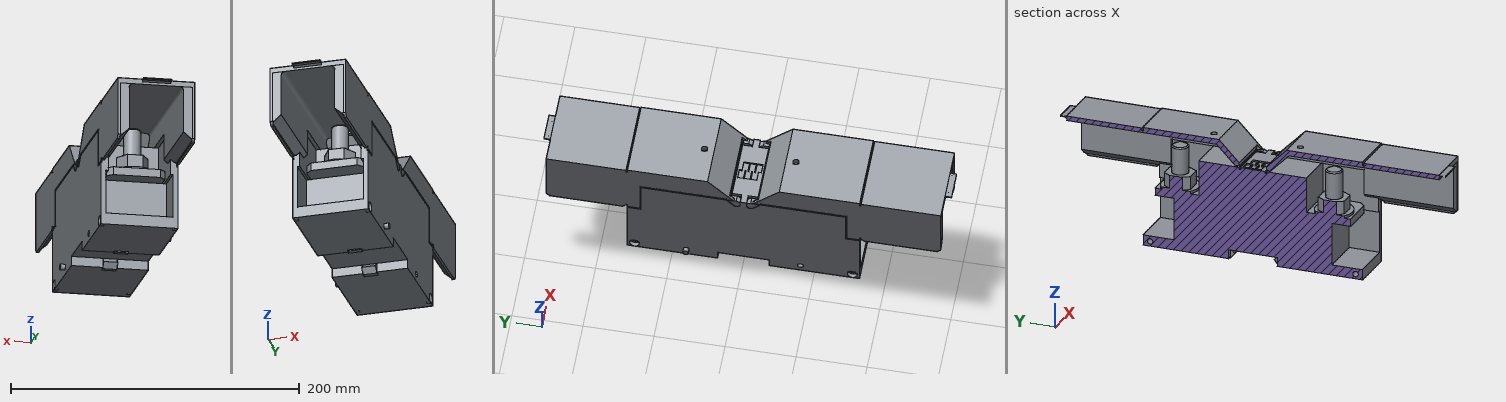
import cadquery as cq


width = 54.5
half_width = width / 2
housing_end = 81.8
height = 89.3
deck_z = 70.5
rail_notch_end = 18.0
rail_notch_depth = 6.5

slope_top_y = 25.3
slope_bottom_y = slope_top_y - (height - deck_z)
slope_foot_thickness = 5.5
slope_inner_y = slope_bottom_y + slope_foot_thickness
cap_end = 139.0
cap_top = 88.7
cap_bottom = 45.3
cap_corner = 2.5
ceiling_z = 85.0
cover_wall = 8.0
cavity_half_width = half_width - cover_wall
cavity_corner = 3.0
inner_slope_top_y = 27.0
end_rim = 1.7
end_rim_depth = 0.1
flare_top_z = 52.2
flare_bottom_z = 46.8
hinge_width = 1.0
hinge_bottom = 86.7
relief_top = 47.6
relief_flat = 1.0
cover_hole_y = 32.1
cover_hole_diameter = 4.3

seam_width = 1.0
seam_depth = 1.0
seam_y = 72.0

tab_end = 143.5
tab_width = 20.0
tab_thickness = 1.0
tab_drop = 0.3
tab_gusset = 1.7

window_half_width = 25.0
window_end = 10.0
window_channel_width = 1.0
window_channel_depth = 1.5
latch_front = 2.3
latch_bottom = 64.5
latch_ramp_end = 5.2
latch_ramp_depth = 1.5
latch_arc_y = 4.5
latch_mark_depth = 0.3
latch_width = 4.5
latch_gap = 1.7
latch_gap_depth = 2.3
latch_corner = 0.5
latch_nose = 2.0

chamber_back = 40.2
chamber_width = 44.2
chamber_floor = 39.0
pocket_back = 59.0
pocket_width = 47.6
pocket_floor = 8.0

plate_width = 41.3
plate_end = 73.0
plate_thickness = 5.7
plate_corner = 4.0
stud_y = 57.5
stud_diameter = 12.0
stud_top = 76.5
stud_corner = 1.0
washer_diameter = 27.5
washer_thickness = 1.7
nut_across_corners = 22.5
nut_height = 9.8

pin_y = 40.2
pin_z = 5.5
pin_diameter = 4.0
width_over_pins = 61.0
pin_length = (width_over_pins - width) / 2
pin_hole_depth = 4.0
side_hole_y = 76.5
side_hole_z = 3.7
side_hole_diameter = 3.7
side_bore_diameter = 7.0
side_bore_depth = 3.0

foot_width = 10.0
foot_drop = 1.0
foot_tip_y = 14.5
foot_root_y = 21.5

comb_width = 7.0
comb_start = -5.7
comb_end = 8.3
comb_slots = 3
comb_bar = 0.5
comb_depth = 1.1


def box(x_range, y_range, z_range):
    """Box between the given limits."""
    sizes = [high - low for low, high in (x_range, y_range, z_range)]
    corner = (x_range[0], y_range[0], z_range[0])
    return cq.Workplane("XY").box(*sizes, centered=False).translate(corner)


def centred_box(full_width, y_range, z_range):
    """Box centred across X."""
    return box((-full_width / 2, full_width / 2), y_range, z_range)


def across(points, full_width):
    """Outline of (y, z) points extruded across X, centred on X = 0."""
    return cq.Workplane("YZ").polyline(points).close().extrude(full_width / 2, both=True)


def both_sides(solid):
    """The solid together with its mirror image in X."""
    return solid.union(solid.mirror("YZ"))


def half_shell():
    """Housing and cover of one pole, before hollowing."""
    return across(
        [
            (0, rail_notch_depth),
            (rail_notch_end, rail_notch_depth),
            (rail_notch_end, 0),
            (housing_end, 0),
            (housing_end, relief_top),
            (housing_end + relief_flat, relief_top),
            (housing_end + relief_flat + relief_top - cap_bottom, cap_bottom),
            (cap_end - cap_corner, cap_bottom),
            (cap_end, cap_bottom + cap_corner),
            (cap_end, cap_top),
            (housing_end + hinge_width, cap_top),
            (housing_end + hinge_width, hinge_bottom),
            (housing_end, hinge_bottom),
            (housing_end, height),
            (slope_top_y, height),
            (slope_bottom_y, deck_z),
            (0, deck_z),
        ],
        width,
    )


def cover_cavity():
    """Space under the cover: level ceiling, sloped front and flared lower edges on the cap."""
    inner_slope_bottom_y = inner_slope_top_y - (ceiling_z - deck_z)
    hollow = across(
        [
            (inner_slope_bottom_y, deck_z),
            (chamber_back, deck_z),
            (chamber_back, cap_bottom),
            (cap_end, cap_bottom),
            (cap_end, ceiling_z),
            (inner_slope_top_y, ceiling_z),
        ],
        2 * cavity_half_width,
    )
    hollow = hollow.edges("|Y and >Z").fillet(cavity_corner)

    flare_half_width = half_width - end_rim
    flare = (
        cq.Workplane("XZ", origin=(0, cap_end, 0))
        .polyline(
            [
                (-flare_half_width, cap_bottom),
                (-flare_half_width, flare_bottom_z),
                (-cavity_half_width, flare_top_z),
                (cavity_half_width, flare_top_z),
                (flare_half_width, flare_bottom_z),
                (flare_half_width, cap_bottom),
            ]
        )
        .close()
        .extrude(cap_end - seam_y)
    )
    flare = flare.intersect(
        centred_box(chamber_width, (seam_y, housing_end), (0, height)).union(
            centred_box(width, (housing_end, cap_end), (0, height))
        )
    )
    end_recess = centred_box(
        2 * flare_half_width, (cap_end - end_rim_depth, cap_end), (cap_bottom, ceiling_z)
    )
    return hollow.union(flare).union(end_recess)


def housing_cavity():
    """Terminal chamber with the deeper wire pocket in front of it."""
    chamber = centred_box(chamber_width, (chamber_back, housing_end), (chamber_floor, deck_z))
    chamber = chamber.cut(centred_box(width, (seam_y, housing_end), (cap_bottom, deck_z)))
    pocket = centred_box(pocket_width, (pocket_back, housing_end), (pocket_floor, chamber_floor))
    return chamber.union(pocket)


def parting_groove():
    """Stepped groove along both side faces where the cover meets the housing."""
    seam_bottom = cap_bottom - seam_width / 2
    outline = [
        (slope_inner_y, deck_z),
        (seam_y, deck_z),
        (seam_y, seam_bottom),
        (housing_end, seam_bottom),
        (housing_end, seam_bottom + seam_width),
        (seam_y + seam_width, seam_bottom + seam_width),
        (seam_y + seam_width, deck_z + seam_width),
        (slope_inner_y, deck_z + seam_width),
    ]
    core = centred_box(width - 2 * seam_depth, (0, cap_end), (0, height))
    return across(outline, width).cut(core)


def pull_tab():
    """Thin tab on the cap end, carried by a small gusset."""
    top = cap_top - tab_drop
    bottom = top - tab_thickness
    return across(
        [
            (cap_end - end_rim_depth, top),
            (tab_end, top),
            (tab_end, bottom),
            (cap_end + tab_gusset, bottom),
            (cap_end, bottom - tab_gusset / 2),
            (cap_end - end_rim_depth, bottom - tab_gusset / 2),
        ],
        tab_width,
    )


def deck_window():
    """Upright cut through the foot of the slope, with a narrow gap under it and a channel along it."""
    opening = centred_box(2 * window_half_width, (0, window_end), (deck_z, height))
    gap = centred_box(
        2 * window_half_width, (window_end, slope_inner_y), (deck_z, deck_z + seam_width)
    )
    channel = centred_box(
        2 * window_half_width,
        (window_end - window_channel_width, window_end),
        (deck_z - window_channel_depth, deck_z),
    )
    return opening.union(gap).union(channel)


def latch_cuts():
    """Shallow hook outline on each side face, its ramped top and the slot beside it."""
    hook = (
        cq.Workplane("YZ", origin=(half_width - latch_mark_depth, 0, 0))
        .moveTo(slope_inner_y, deck_z)
        .lineTo(slope_inner_y - (deck_z - latch_bottom - latch_corner), latch_bottom + latch_corner)
        .threePointArc((latch_arc_y, latch_bottom), (latch_front, latch_bottom + latch_nose))
        .lineTo(latch_front, deck_z)
        .close()
        .extrude(latch_mark_depth)
    )
    slot_outer = half_width - latch_width
    slot = box(
        (slot_outer - latch_gap, slot_outer),
        (latch_front, window_end),
        (deck_z - latch_gap_depth, deck_z),
    )
    ramp = (
        cq.Workplane("YZ", origin=(slot_outer, 0, 0))
        .polyline(
            [
                (latch_front, deck_z),
                (latch_front, deck_z - latch_ramp_depth),
                (latch_ramp_end, deck_z),
            ]
        )
        .close()
        .extrude(latch_width)
    )
    return both_sides(hook.union(slot).union(ramp))


def terminal():
    """Contact plate with washer, hexagon nut and stud."""
    plate = centred_box(
        plate_width, (chamber_back, plate_end), (chamber_floor, chamber_floor + plate_thickness)
    )
    plate = plate.edges("|Z and >Y").chamfer(plate_corner)
    plate_top = chamber_floor + plate_thickness
    nut_bottom = plate_top + washer_thickness
    washer = (
        cq.Workplane("XY", origin=(0, stud_y, plate_top))
        .circle(washer_diameter / 2)
        .extrude(washer_thickness)
    )
    nut = (
        cq.Workplane("XY", origin=(0, stud_y, nut_bottom))
        .polygon(6, nut_across_corners)
        .extrude(nut_height)
    )
    stud = (
        cq.Workplane("XY", origin=(0, stud_y, plate_top))
        .circle(stud_diameter / 2)
        .extrude(stud_top - plate_top)
        .faces(">Z")
        .chamfer(stud_corner)
    )
    return plate.union(washer).union(nut).union(stud)


def side_cylinder(diameter, x_start, length, y, z):
    """Cylinder along +X."""
    return cq.Workplane("YZ", origin=(x_start, y, z)).circle(diameter / 2).extrude(length)


def side_holes():
    """Through hole with a bore at both ends, and the blind socket for a neighbour's pin."""
    through = side_cylinder(side_hole_diameter, -half_width, width, side_hole_y, side_hole_z)
    bore = side_cylinder(
        side_bore_diameter, half_width - side_bore_depth, side_bore_depth, side_hole_y, side_hole_z
    )
    socket = side_cylinder(pin_diameter, half_width - pin_hole_depth, pin_hole_depth, pin_y, pin_z)
    return through.union(both_sides(bore)).union(socket)


def rail_foot():
    """Narrow pointed catch that reaches into the rail notch and just below the housing."""
    return across(
        [
            (foot_root_y, rail_notch_depth),
            (rail_notch_end, rail_notch_depth),
            (foot_tip_y, rail_notch_depth / 2),
            (rail_notch_end, -foot_drop),
            (foot_root_y, -foot_drop),
        ],
        foot_width,
    )


def comb():
    """Row of shallow slots to the left of the deck centre."""
    pitch = (comb_end - comb_start) / comb_slots
    cuts = cq.Workplane("XY")
    for index in range(comb_slots):
        start = comb_start + index * pitch
        cuts = cuts.union(
            box((-comb_width, 0), (start, start + pitch - comb_bar), (deck_z - comb_depth, deck_z))
        )
    return cuts


def half_block():
    """One complete pole on the +Y side."""
    block = half_shell().cut(cover_cavity()).cut(housing_cavity())
    block = block.cut(parting_groove()).cut(deck_window()).cut(latch_cuts())
    block = block.union(terminal()).cut(side_holes())
    cover_hole = (
        cq.Workplane("XY", origin=(0, cover_hole_y, ceiling_z))
        .circle(cover_hole_diameter / 2)
        .extrude(height - ceiling_z)
    )
    pin = side_cylinder(pin_diameter, -half_width - pin_length, pin_length, pin_y, pin_z)
    return block.cut(cover_hole).union(pin).union(pull_tab()).union(rail_foot())


def with_half_turn(solid):
    """The solid together with its copy turned half a turn about Z."""
    return solid.union(solid.rotate((0, 0, 0), (0, 0, 1), 180))


result = with_half_turn(half_block()).cut(with_half_turn(comb()))